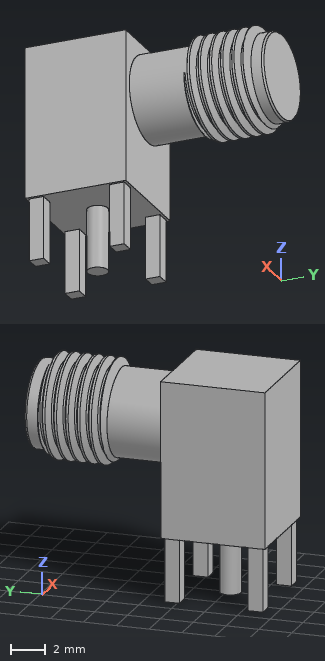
import cadquery as cq

total_length = 14.8
body_width = 6.35
body_height = 9.5

leg_length = 3.89
leg_width = 0.92
leg_pitch = 5.08
pin_diameter = 1.27

barrel_radius = 2.671
barrel_length = total_length - body_width
barrel_center_z = body_height - body_width / 2
tip_chamfer_length = 0.13
tip_chamfer_depth = 0.07

thread_radius = body_width / 2
thread_pitch = 0.705
thread_tip_gap = 0.78
thread_length = 4.23
thread_lead_in = 0.34
thread_base_width = 0.58
thread_crest_width = 0.15
thread_overlap = 0.05
envelope_clearance = 0.05
thread_turns = 7
thread_start_from_tip = 5.22


def make_body():
    return cq.Workplane("XY").box(
        body_width, body_width, body_height, centered=(True, True, False)
    )


def make_legs():
    legs = cq.Workplane("XY").rarray(leg_pitch, leg_pitch, 2, 2).rect(leg_width, leg_width)
    return legs.extrude(-leg_length)


def make_pin():
    return cq.Workplane("XY").circle(pin_diameter / 2).extrude(-leg_length)


def revolve_profile(points):
    """Revolve (radius, height) points about the Z axis."""
    return cq.Workplane("XZ").polyline(points).close().revolve(360, (0, 0, 0), (0, 1, 0))


def make_barrel():
    return revolve_profile([
        (0, 0),
        (barrel_radius, 0),
        (barrel_radius, barrel_length - tip_chamfer_length),
        (barrel_radius - tip_chamfer_depth, barrel_length),
        (0, barrel_length),
    ])


def make_thread():
    """Helical ridge around Z, trimmed to a tapered lead-in at both ends."""
    flank_slope = (thread_base_width - thread_crest_width) / 2 / (thread_radius - barrel_radius)
    inner_radius = barrel_radius - thread_overlap
    inner_half_width = thread_base_width / 2 + thread_overlap * flank_slope
    start_z = barrel_length - thread_start_from_tip
    helix = cq.Wire.makeHelix(
        thread_pitch, thread_turns * thread_pitch, barrel_radius, cq.Vector(0, 0, start_z)
    )
    ridge = (
        cq.Workplane("XZ")
        .polyline([
            (inner_radius, start_z - inner_half_width),
            (thread_radius, start_z - thread_crest_width / 2),
            (thread_radius, start_z + thread_crest_width / 2),
            (inner_radius, start_z + inner_half_width),
        ])
        .close()
        .sweep(cq.Workplane(helix), isFrenet=True)
    )
    top_z = barrel_length - thread_tip_gap
    bottom_z = top_z - thread_length
    envelope_radius = thread_radius + envelope_clearance
    taper_length = thread_lead_in * (envelope_radius - barrel_radius) / (thread_radius - barrel_radius)
    envelope = revolve_profile([
        (0, bottom_z),
        (barrel_radius, bottom_z),
        (envelope_radius, bottom_z + taper_length),
        (envelope_radius, top_z - taper_length),
        (barrel_radius, top_z),
        (0, top_z),
    ])
    return ridge.intersect(envelope)


connector = (
    make_barrel()
    .union(make_thread())
    .rotate((0, 0, 0), (1, 0, 0), -90)
    .translate((0, body_width / 2, barrel_center_z))
)

result = make_body().union(make_legs()).union(make_pin()).union(connector)